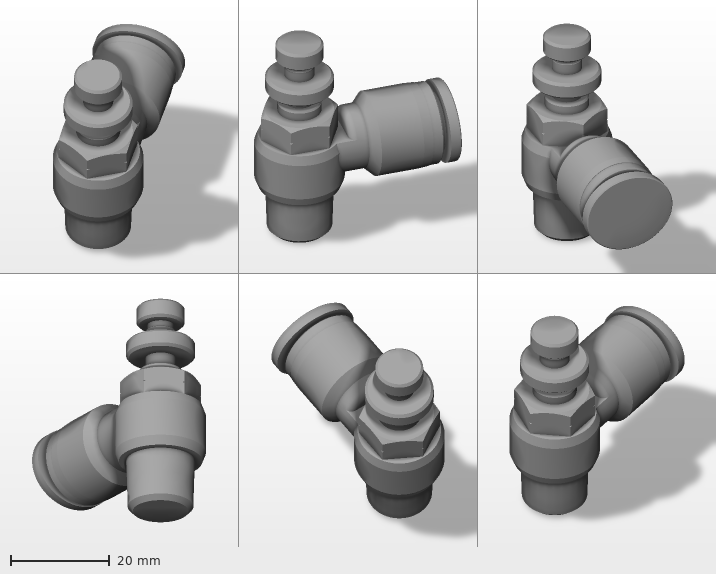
import cadquery as cq
import math


seat_z = 22.95
elbow_bottom_z = 11.05
hex_top_z = 28.9
collar_top_z = 31.0
overall_height = 45.1

barrel_radius = 9.2
barrel_bevel_height = 1.9
barrel_bevel_width = 0.7

port_radius = 8.8
port_axis_z = elbow_bottom_z + port_radius
branch_radius = 6.75
branch_end_y = 8.95
branch_end_round = 1.5
cone_start_y = 12.7
cone_end_y = cone_start_y + port_radius - branch_radius
taper_start_y = 23.75
port_lip_y = 25.8
port_lip_radius = 8.65
cap_radius = 8.52
cap_end_y = 28.15
cap_chamfer = 0.25

bush_sleeve_radius = 5.95
bush_flange_start_y = 29.3
bush_end_y = 31.6
bush_width = 19.0
bush_height = 16.5
bush_rim_chamfer = 0.23
bush_root_chamfer = 0.23

stud_radius = 7.0
thread_top_z = 10.9
thread_end_radius = 6.67
thread_chamfer = 1.05
hex_sides = 6
hex_turn = 180 / hex_sides
hex_across_flats = 14.3
hex_corner_radius = hex_across_flats / math.sqrt(3)
hex_bevel_angle = math.radians(30)
hex_bevel_radius = 7.05
hex_groove_z = 25.65
hex_groove_depth = 0.23
collar_radius = 4.5
collar_chamfer = 0.25

stem_radius = 3.05
stem_top_z = 39.9
stem_chamfer_height = 0.25
stem_neck_radius = 2.65
knob_radius = 4.85
knob_bottom_z = 41.1
knob_chamfer = 0.5
ring_radius = 7.0
ring_bottom_z = 33.8
ring_top_z = 37.4
ring_chamfer = 0.55


def turned_upright(profile):
    """Revolve (radius, z) points about the Z axis."""
    return cq.Workplane("XZ").polyline(profile).close().revolve(360, (0, 0), (0, 1))


def turned_along_port(profile):
    """Revolve (radius, y) points about the port axis."""
    plane = cq.Workplane("XY", origin=(0, 0, port_axis_z))
    return plane.polyline(profile).close().revolve(360, (0, 0), (0, 1))


def make_elbow():
    """Upright barrel with a side port, bored for the stud and the release bush."""
    bevelled_radius = barrel_radius - barrel_bevel_width
    barrel = turned_upright([
        (0, elbow_bottom_z),
        (bevelled_radius, elbow_bottom_z),
        (barrel_radius, elbow_bottom_z + barrel_bevel_height),
        (barrel_radius, seat_z - barrel_bevel_height),
        (bevelled_radius, seat_z),
        (0, seat_z),
    ])
    port = turned_along_port([
        (0, cone_start_y),
        (branch_radius, cone_start_y),
        (port_radius, cone_end_y),
        (port_radius, taper_start_y),
        (port_lip_radius, port_lip_y),
        (cap_radius, port_lip_y),
        (cap_radius, cap_end_y - cap_chamfer),
        (cap_radius - cap_chamfer, cap_end_y),
        (0, cap_end_y),
    ])
    branch_plane = cq.Workplane("XZ", origin=(0, 0, port_axis_z))
    above_seat = (
        cq.Workplane("XY", origin=(0, 0, seat_z))
        .rect(2 * overall_height, 2 * overall_height)
        .extrude(overall_height)
    )
    lower_branch = branch_plane.circle(branch_radius).extrude(-cone_start_y).cut(above_seat)
    rounded_branch = (
        branch_plane.workplane(offset=-branch_end_y)
        .circle(branch_radius)
        .extrude(branch_end_y - cone_start_y)
        .faces("<Y").edges().fillet(branch_end_round)
    )
    elbow = barrel.union(lower_branch).union(rounded_branch).union(port)
    stud_bore = (
        cq.Workplane("XY", origin=(0, 0, elbow_bottom_z))
        .circle(stud_radius)
        .extrude(seat_z - elbow_bottom_z)
    )
    bush_bore = (
        cq.Workplane("XZ", origin=(0, port_lip_y, port_axis_z))
        .circle(bush_sleeve_radius)
        .extrude(port_lip_y - cap_end_y)
    )
    return elbow.cut(stud_bore).cut(bush_bore)


def make_bush():
    """Release bush: a round sleeve seated in the port, and an oval flange to push on."""
    sleeve = turned_along_port([
        (0, port_lip_y),
        (bush_sleeve_radius, port_lip_y),
        (bush_sleeve_radius, bush_flange_start_y - bush_root_chamfer),
        (bush_sleeve_radius + bush_root_chamfer, bush_flange_start_y),
        (0, bush_flange_start_y),
    ])
    flange = (
        cq.Workplane("XZ", origin=(0, bush_flange_start_y, port_axis_z))
        .ellipse(bush_width / 2, bush_height / 2)
        .extrude(bush_flange_start_y - bush_end_y)
        .faces(">Y").chamfer(bush_rim_chamfer)
    )
    return sleeve.union(flange)


def make_stud():
    """Tapered thread, shank through the elbow, hexagon and collar."""
    core = turned_upright([
        (0, 0),
        (thread_end_radius - thread_chamfer, 0),
        (thread_end_radius, thread_chamfer),
        (stud_radius, thread_top_z),
        (stud_radius, seat_z),
        (collar_radius, seat_z),
        (collar_radius, collar_top_z - collar_chamfer),
        (collar_radius - collar_chamfer, collar_top_z),
        (0, collar_top_z),
    ])
    hexagon = (
        cq.Workplane("XY", origin=(0, 0, seat_z))
        .polygon(hex_sides, 2 * hex_corner_radius)
        .extrude(hex_top_z - seat_z)
        .rotate((0, 0, 0), (0, 0, 1), hex_turn)
    )
    bevel_drop = (hex_corner_radius - hex_bevel_radius) * math.tan(hex_bevel_angle)
    groove_half = hex_groove_depth * math.tan(hex_bevel_angle)
    bevelled_envelope = turned_upright([
        (0, seat_z),
        (hex_corner_radius, seat_z),
        (hex_corner_radius, hex_groove_z - groove_half),
        (hex_corner_radius - hex_groove_depth, hex_groove_z),
        (hex_corner_radius, hex_groove_z + groove_half),
        (hex_corner_radius, hex_top_z - bevel_drop),
        (hex_bevel_radius, hex_top_z),
        (0, hex_top_z),
    ])
    return core.union(hexagon.intersect(bevelled_envelope))


def make_needle():
    """Stem standing on the collar, with a locking ring, a narrow neck and a turning knob."""
    return turned_upright([
        (0, collar_top_z),
        (stem_radius, collar_top_z),
        (stem_radius, ring_bottom_z),
        (ring_radius - ring_chamfer, ring_bottom_z),
        (ring_radius, ring_bottom_z + ring_chamfer),
        (ring_radius, ring_top_z - ring_chamfer),
        (ring_radius - ring_chamfer, ring_top_z),
        (stem_radius, ring_top_z),
        (stem_radius, stem_top_z - stem_chamfer_height),
        (stem_neck_radius, stem_top_z),
        (stem_neck_radius, knob_bottom_z),
        (knob_radius - knob_chamfer, knob_bottom_z),
        (knob_radius, knob_bottom_z + knob_chamfer),
        (knob_radius, overall_height - knob_chamfer),
        (knob_radius - knob_chamfer, overall_height),
        (0, overall_height),
    ])


elbow = make_elbow()
bush = make_bush()
stud = make_stud()
needle = make_needle()
result = cq.Compound.makeCompound([elbow.val(), bush.val(), stud.val(), needle.val()])